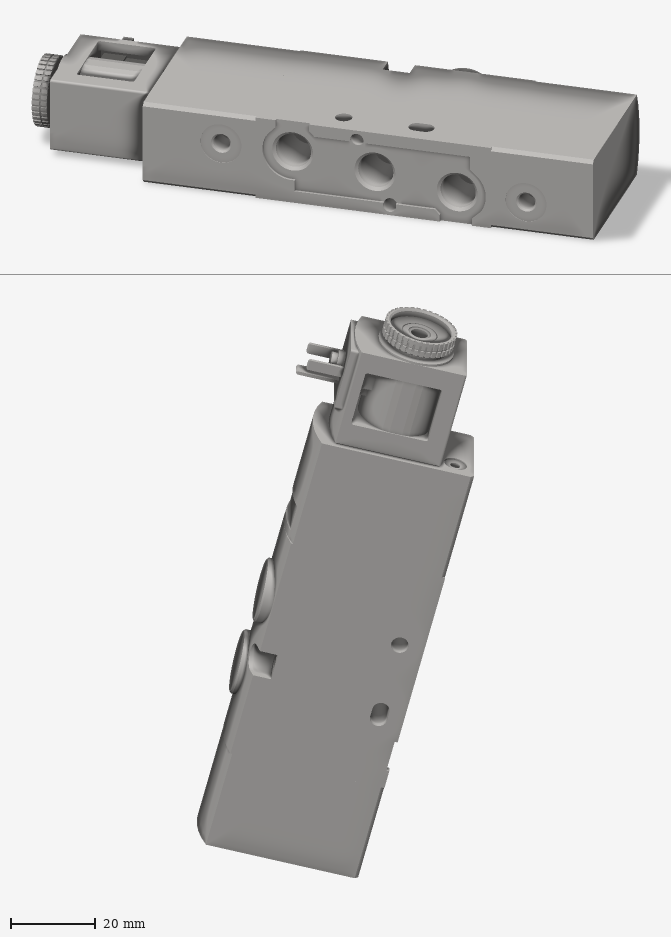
import cadquery as cq
import math

total_length = 141.2
height = 21.0
half_height = height / 2
crown_y = 39.3
body_edge_y = 37.5
cap_edge_y = 37.0
left_cap_x = 30.8
body_x = 58.5
right_cap_x = 116.2
cap_chamfer = 0.8

port_stagger = 2.5
port_pitch = 20.2
port_centre_x = 87.6
port_diameter = 8.6
port_mouth_diameter = 10.0
port_depth = 14.1
gasket_depth = 0.7
gasket_radius = 7.2
gasket_half_height = 7.5
gasket_corner = 1.3
gasket_top_left_x = 63.4
gasket_top_right_x = 71.6
gasket_bottom_left_x = 103.7
gasket_bottom_right_x = 111.6
gasket_left_foot_x = 68.1
gasket_left_shoulder_x = 61.5
gasket_right_shoulder_x = 113.4
gasket_right_step_x = 111.2
gasket_right_step_z = 4.1
boss_diameter = 15.5
boss_root_y = 34.6
boss_top_y = 40.4
boss_chamfer = 0.4
boss_places = [(76.3, -2.4), (98.6, 2.4)]
mount_places = [(83.3, 8.0), (91.4, -8.0)]
mount_diameter = 3.2
mount_seat_width = 6.6
mount_seat_y = 33.0
cross_hole_x = 78.4
cross_slot_x = 97.5
cross_hole_y = 6.0
cross_hole_diameter = 4.1
cross_slot_length = 6.2

left_pilot_x = 50.0
right_pilot_x = 124.9
pilot_ring_depth = 0.1
pilot_diameter = 4.1
pilot_chamfer = 0.4
pilot_depth = 7.0
notch_x = 50.1
notch_length = 6.4
notch_y = 38.1
override_y = 4.5
override_z = -5.6
override_diameter = 5.5
override_depth = 0.4
override_slot_diameter = 2.4
override_slot_depth = 1.4

coil_axis_y = 20.6
frame_x = 5.6
frame_height = 18.4
frame_front_y = 8.2
frame_edge_y = 33.8
frame_crown_y = 35.5
frame_rounding = 0.5
frame_end_chamfer = 0.3
notch_hole_diameter = 2.0
notch_hole_depth = 0.7
window_x = 10.7
window_length = 14.1
window_front_y = 12.9
window_back_y = 31.5
window_rounding = 0.5
chamber_length = 17.0
chamber_height = 13.5
coil_radius = 9.2
coil_flat_half_width = 1.5
coil_bevel_half_width = 3.2
coil_flat_z = 8.9
stem_x = 1.8
stem_diameter = 8.6
stem_chamfer = 0.3
stem_socket_diameter = 5.5
stem_socket_depth = 0.3
stem_hole_diameter = 4.1
stem_hole_depth = 2.8
stem_bottom_diameter = 2.0
stem_bottom_depth = 4.2

plate_x = 6.4
plate_length = 16.1
plate_height = 15.8
plate_bottom_y = 33.8
plate_top_y = 36.2
plate_rounding = 0.5
neck_x = 11.5
neck_length = 5.5
neck_height = 10.2
side_neck_x = 17.8
side_neck_length = 1.7
side_neck_height = 7.3
neck_bottom_y = 26.8
terminal_height = 9.0
peg_x = 14.1
peg_base_diameter = 5.5
peg_base_top_y = 37.9
peg_diameter = 4.1
peg_top_y = 39.3

blade_thickness = 0.8
blade_tip_chamfer = 0.35
pin_root_y = 34.5
side_pin_x = 14.4
side_pin_width = 2.5
side_pin_offset = 4.1
side_pin_top_y = 44.8
centre_pin_x = 18.5
centre_pin_width = 3.5
centre_pin_top_y = 46.5

nut_diameter = 17.4
nut_length = 3.7
knurl_count = 36
knurl_width = 0.5
knurl_depth = 0.4
nut_groove_x = 1.8
nut_groove_width = 0.4
nut_recess_diameter = 14.8
nut_recess_depth = stem_x
nut_lip_bevel = 0.4
nut_neck_diameter = 10.0
seat_x = 4.5
seat_step_x = 5.1
seat_small_diameter = 15.0
seat_large_diameter = 18.4


def block(x, y, z, length, width, tall):
    """Box given by its lowest corner and its sizes."""
    return cq.Workplane("XY").box(length, width, tall, centered=False).translate((x, y, z))


def rod_x(x, y, z, diameter, length):
    """Cylinder that starts at the given point and runs towards +X."""
    return cq.Workplane("YZ", origin=(x, y, z)).circle(diameter / 2).extrude(length)


def rod_y(x, y, z, diameter, length):
    """Cylinder that starts at the given point and runs towards +Y."""
    return cq.Workplane("XZ", origin=(x, y, z)).circle(diameter / 2).extrude(-length)


def countersink_y(x, y, z, large_diameter, small_diameter):
    """45 degree cone that narrows towards +Y."""
    depth = (large_diameter - small_diameter) / 2
    base = cq.Vector(x, y, z)
    axis = cq.Vector(0, 1, 0)
    return cq.Workplane(cq.Solid.makeCone(large_diameter / 2, small_diameter / 2, depth, base, axis))


def crowned_bar(x, length, half_tall, front_y, edge_y, crown):
    """Bar along X whose +Y side bulges in an arc."""
    return (
        cq.Workplane("YZ", origin=(x, 0, 0))
        .moveTo(front_y, -half_tall)
        .lineTo(edge_y, -half_tall)
        .threePointArc((crown, 0), (edge_y, half_tall))
        .lineTo(front_y, half_tall)
        .close()
        .extrude(length)
    )


def arc_height(offset):
    """Height of the gasket arc above its centre, at an X offset from that centre."""
    return math.sqrt(gasket_radius**2 - offset**2)


def gasket_recess():
    """Shallow recess around the three ports, open to +Z at one end and to -Z at the other."""
    left_x = port_centre_x - port_pitch
    right_x = port_centre_x + port_pitch
    shoulder_z = gasket_half_height + gasket_corner
    left_foot_z = port_stagger - arc_height(gasket_left_foot_x - left_x)
    left_shoulder_z = port_stagger + arc_height(gasket_left_shoulder_x - left_x)
    right_rise = arc_height(gasket_right_shoulder_x - right_x)
    left_arc_middle = (left_x - gasket_radius, port_stagger)
    right_arc_middle = (right_x + gasket_radius, -port_stagger)
    outline = (
        cq.Workplane("XZ")
        .moveTo(gasket_top_left_x, half_height)
        .lineTo(gasket_top_left_x, shoulder_z)
        .lineTo(gasket_left_shoulder_x, left_shoulder_z)
        .threePointArc(left_arc_middle, (gasket_left_foot_x, left_foot_z))
        .lineTo(gasket_left_foot_x, -gasket_half_height)
        .lineTo(gasket_bottom_left_x - gasket_corner, -gasket_half_height)
        .lineTo(gasket_bottom_left_x, -shoulder_z)
        .lineTo(gasket_bottom_left_x, -half_height)
        .lineTo(gasket_bottom_right_x, -half_height)
        .lineTo(gasket_bottom_right_x, -shoulder_z)
        .lineTo(gasket_right_shoulder_x, -port_stagger - right_rise)
        .threePointArc(right_arc_middle, (gasket_right_shoulder_x, -port_stagger + right_rise))
        .lineTo(gasket_right_step_x, gasket_right_step_z)
        .lineTo(gasket_right_step_x, gasket_half_height)
        .lineTo(gasket_top_right_x + gasket_corner, gasket_half_height)
        .lineTo(gasket_top_right_x, shoulder_z)
        .lineTo(gasket_top_right_x, half_height)
        .close()
    )
    return outline.extrude(-gasket_depth)


def mount_seat(x, z):
    """Round-bottomed pocket for a screw head, open to +Y and to the nearer Z face."""
    length = crown_y - mount_seat_y
    left_x = x - mount_seat_width / 2
    bottom_z = z if z > 0 else -half_height
    opening = block(left_x, mount_seat_y, bottom_z, mount_seat_width, length, half_height - abs(z))
    return rod_y(x, mount_seat_y, z, mount_seat_width, length).union(opening)


def make_body():
    length = right_cap_x - body_x
    body = crowned_bar(body_x, length, half_height, 0, body_edge_y, crown_y)
    for x, z in boss_places:
        boss = rod_y(x, boss_root_y, z, boss_diameter, boss_top_y - boss_root_y)
        body = body.union(boss.faces(">Y").chamfer(boss_chamfer))
    body = body.cut(gasket_recess())
    for step in (-1, 0, 1):
        x = port_centre_x + step * port_pitch
        z = -step * port_stagger
        body = body.cut(rod_y(x, 0, z, port_diameter, port_depth))
        body = body.cut(countersink_y(x, gasket_depth, z, port_mouth_diameter, port_diameter))
    for x, z in mount_places:
        body = body.cut(rod_y(x, 0, z, mount_diameter, crown_y))
        body = body.cut(mount_seat(x, z))
    cross = cq.Workplane("XY", origin=(0, 0, -half_height))
    hole = cross.center(cross_hole_x, cross_hole_y).circle(cross_hole_diameter / 2).extrude(height)
    slot = (
        cross.center(cross_slot_x, cross_hole_y)
        .slot2D(cross_slot_length, cross_hole_diameter)
        .extrude(height)
    )
    return body.cut(hole).cut(slot)


def make_cap(x, length, pilot_x, pilot_z):
    cap = crowned_bar(x, length, half_height, 0, cap_edge_y, crown_y)
    cap = cap.faces("<Y").edges("|X").chamfer(cap_chamfer)
    cap = cap.cut(rod_y(pilot_x, 0, pilot_z, port_mouth_diameter, pilot_ring_depth))
    cap = cap.cut(rod_y(pilot_x, 0, pilot_z, pilot_diameter, pilot_depth))
    mouth_diameter = pilot_diameter + 2 * pilot_chamfer
    return cap.cut(countersink_y(pilot_x, pilot_ring_depth, pilot_z, mouth_diameter, pilot_diameter))


def make_left_cap():
    cap = make_cap(left_cap_x, body_x - left_cap_x, left_pilot_x, port_stagger)
    cap = cap.cut(block(notch_x, notch_y, -half_height, notch_length, crown_y - notch_y, height))
    cap = cap.cut(rod_x(left_cap_x, override_y, override_z, override_diameter, override_depth))
    return cap.cut(rod_x(left_cap_x, override_y, override_z, override_slot_diameter, override_slot_depth))


def coil_outside():
    stem = rod_x(stem_x, coil_axis_y, 0, stem_diameter, window_x - stem_x)
    stem = stem.faces("<X").chamfer(stem_chamfer)
    bevel_z = math.sqrt(coil_radius**2 - coil_bevel_half_width**2)
    winding_outline = (
        cq.Workplane("YZ", origin=(window_x, coil_axis_y, 0))
        .moveTo(-coil_bevel_half_width, bevel_z)
        .lineTo(-coil_flat_half_width, coil_flat_z)
        .lineTo(coil_flat_half_width, coil_flat_z)
        .lineTo(coil_bevel_half_width, bevel_z)
        .threePointArc((coil_radius, 0), (coil_bevel_half_width, -bevel_z))
        .lineTo(coil_flat_half_width, -coil_flat_z)
        .lineTo(-coil_flat_half_width, -coil_flat_z)
        .lineTo(-coil_bevel_half_width, -bevel_z)
        .threePointArc((-coil_radius, 0), (-coil_bevel_half_width, bevel_z))
        .close()
    )
    winding = winding_outline.extrude(window_length)
    return winding.union(stem).union(connector())


def connector():
    plate = block(
        plate_x, plate_bottom_y, -plate_height / 2, plate_length, plate_top_y - plate_bottom_y, plate_height
    )
    plate = plate.edges("|Y").fillet(plate_rounding)
    neck_depth = plate_bottom_y - neck_bottom_y
    neck = block(neck_x, neck_bottom_y, -neck_height / 2, neck_length, neck_depth, neck_height)
    side_neck = block(
        side_neck_x, neck_bottom_y, -side_neck_height / 2, side_neck_length, neck_depth, side_neck_height
    )
    terminal_length = window_x + chamber_length - neck_x
    terminal_depth = plate_bottom_y - window_back_y
    terminal_block = block(
        neck_x, window_back_y, -terminal_height / 2, terminal_length, terminal_depth, terminal_height
    )
    peg_base = rod_y(peg_x, plate_bottom_y, 0, peg_base_diameter, peg_base_top_y - plate_bottom_y)
    peg = rod_y(peg_x, plate_bottom_y, 0, peg_diameter, peg_top_y - plate_bottom_y)
    return plate.union(neck).union(side_neck).union(terminal_block).union(peg_base).union(peg)


def make_coil(pins):
    """Coil with its stepped stem hole and a matching socket for each pin."""
    coil = coil_outside()
    for diameter, depth in (
        (stem_socket_diameter, stem_socket_depth),
        (stem_hole_diameter, stem_hole_depth),
        (stem_bottom_diameter, stem_bottom_depth),
    ):
        coil = coil.cut(rod_x(stem_x, coil_axis_y, 0, diameter, depth))
    for pin in pins:
        coil = coil.cut(pin)
    return coil


def make_frame():
    length = left_cap_x - frame_x
    half_tall = frame_height / 2
    frame = crowned_bar(frame_x, length, half_tall, frame_front_y, frame_edge_y, frame_crown_y)
    frame = frame.faces("<Y").edges("|X").fillet(frame_rounding)
    frame = frame.faces(">X").chamfer(frame_end_chamfer)
    window = block(
        window_x, window_front_y, -half_tall, window_length, window_back_y - window_front_y, frame_height
    )
    window = window.edges("|Z").fillet(window_rounding)
    chamber_y = window_back_y - window_rounding
    chamber = block(
        window_x, chamber_y, -chamber_height / 2, chamber_length, plate_bottom_y - chamber_y, chamber_height
    )
    dimple = (
        cq.Workplane("XY", origin=(left_cap_x, coil_axis_y, half_tall - notch_hole_depth))
        .circle(notch_hole_diameter / 2)
        .extrude(notch_hole_depth)
    )
    return frame.cut(window).cut(chamber).cut(dimple).cut(coil_outside())


def make_blade(x, z, x_size, z_size, top_y):
    blade = block(x - x_size / 2, pin_root_y, z - z_size / 2, x_size, top_y - pin_root_y, z_size)
    return blade.faces(">Y").chamfer(blade_tip_chamfer)


def make_side_pin(z):
    return make_blade(side_pin_x, z, side_pin_width, blade_thickness, side_pin_top_y)


def make_centre_pin():
    return make_blade(centre_pin_x, 0, blade_thickness, centre_pin_width, centre_pin_top_y)


def make_nut():
    radius = nut_diameter / 2
    groove_radius = radius - knurl_depth
    profile = (
        cq.Workplane("XY")
        .moveTo(nut_lip_bevel, nut_recess_diameter / 2)
        .lineTo(0, nut_recess_diameter / 2 + nut_lip_bevel)
        .lineTo(0, radius)
        .lineTo(nut_groove_x, radius)
        .lineTo(nut_groove_x, groove_radius)
        .lineTo(nut_groove_x + nut_groove_width, groove_radius)
        .lineTo(nut_groove_x + nut_groove_width, radius)
        .lineTo(nut_length, radius)
        .lineTo(nut_length, nut_neck_diameter / 2)
        .lineTo(seat_x, nut_neck_diameter / 2)
        .lineTo(seat_x, seat_small_diameter / 2)
        .lineTo(seat_step_x, seat_small_diameter / 2)
        .lineTo(seat_step_x, seat_large_diameter / 2)
        .lineTo(frame_x, seat_large_diameter / 2)
        .lineTo(frame_x, stem_diameter / 2)
        .lineTo(nut_recess_depth, stem_diameter / 2)
        .lineTo(nut_recess_depth, nut_recess_diameter / 2)
        .close()
    )
    nut = profile.revolve(360, (0, 0, 0), (1, 0, 0))
    tooth_gap = block(0, groove_radius, -knurl_width / 2, nut_length, 2 * knurl_depth, knurl_width)
    for index in range(knurl_count):
        nut = nut.cut(tooth_gap.rotate((0, 0, 0), (1, 0, 0), index * 360 / knurl_count))
    return nut.translate((0, coil_axis_y, 0))


valve_body = make_body()
left_cap = make_left_cap()
right_cap = make_cap(right_cap_x, total_length - right_cap_x, right_pilot_x, -port_stagger)
side_pins = [make_side_pin(side * side_pin_offset) for side in (-1, 1)]
centre_pin = make_centre_pin()
coil = make_coil([*side_pins, centre_pin])
frame = make_frame()
nut = make_nut()

result = cq.Compound.makeCompound(
    [
        valve_body.val(),
        left_cap.val(),
        right_cap.val(),
        frame.val(),
        coil.val(),
        nut.val(),
        centre_pin.val(),
        *[pin.val() for pin in side_pins],
    ]
)